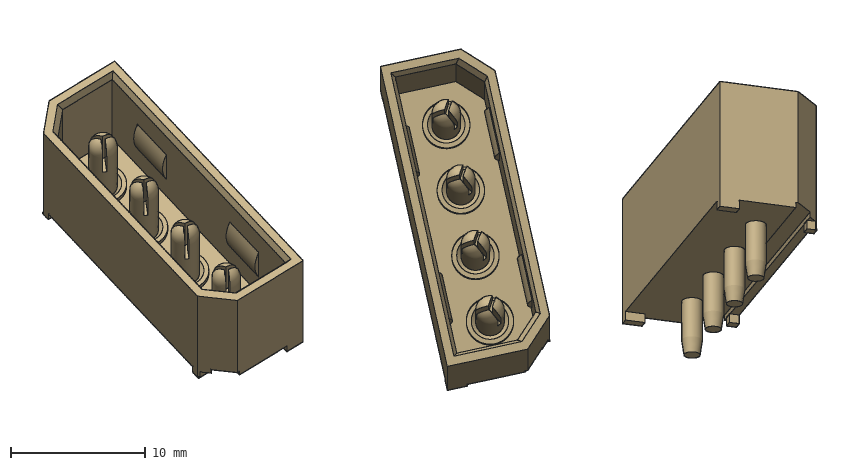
import cadquery as cq
import math


length = 23.25
width = 8.28
total_height = 13.77
tail_reach = 3.63
shroud_top = total_height - tail_reach
corner_cut = 2.15

foot_height = 0.7
foot_width = 0.75
rear_foot_depth = 1.54
front_foot_depth = 0.8
front_foot_outer_x = 9.63
foot_sole = 0.1
groove_top = 1.12
groove_rear_y = -1.81
groove_front_y = -3.4

floor_z = 2.19
wall = 0.93
rim_wall = 0.65
corner_wall = 1.07
corner_rim_wall = 0.67
bevel_height = 0.55

pin_count = 4
pin_pitch = 5.07
pin_diameter = 2.15
dome_top = 8.19
slot_width = 0.3
slot_depth = 2.8
slot_count = 3
tail_diameter = 1.55
tail_tip_diameter = 1.2
taper_length = 1.16

boss_diameter = 3.54
boss_height = 0.35
countersink_diameter = 2.8
countersink_depth = (countersink_diameter - pin_diameter) / 2

bump_centers_x = (-5.82, 5.58)
bump_length = 3.55
bump_bottom = 4.28
bump_top = 7.33
bump_rise = 0.35

pin_xs = [(i - (pin_count - 1) / 2) * pin_pitch for i in range(pin_count)]


def cut_corner_outline(side_inset, corner_inset, z):
    """Rectangle with 45 degree front corners, set in from the outside of the shroud."""
    x = length / 2 - side_inset
    y = width / 2 - side_inset
    cut = corner_cut - 2 * side_inset + math.sqrt(2) * corner_inset
    points = [(-x, y), (-x, cut - y), (cut - x, -y), (x - cut, -y), (x, cut - y), (x, y)]
    return cq.Workplane("XY", origin=(0, 0, z)).polyline(points).close()


def box(x_min, x_max, y_min, y_max, z_min, z_max):
    size = (x_max - x_min, y_max - y_min, z_max - z_min)
    return cq.Workplane("XY").box(*size, centered=False).translate((x_min, y_min, z_min))


def make_feet():
    front_y = -width / 2
    rear_y = width / 2
    rear = box(-length / 2, foot_width - length / 2, rear_y - rear_foot_depth, rear_y, 0, foot_height)
    inner_x = foot_width - front_foot_outer_x
    front = box(-front_foot_outer_x, inner_x, front_y, front_y + front_foot_depth, 0, foot_height)
    sole = front.intersect(box(-front_foot_outer_x, inner_x, front_y, 0, 0, foot_sole))
    trimmed_front = front.intersect(cut_corner_outline(0, 0, 0).extrude(foot_height))
    left_feet = rear.union(trimmed_front).union(sole)
    return left_feet.union(left_feet.mirror("YZ"))


def make_cavity():
    bevel_start = shroud_top - bevel_height
    pocket = cut_corner_outline(wall, corner_wall, floor_z).extrude(bevel_start - floor_z)
    bevel_foot = cut_corner_outline(wall, corner_wall, bevel_start).wire().val()
    rim = cut_corner_outline(rim_wall, corner_rim_wall, shroud_top).wire().val()
    bevel = cq.Solid.makeLoft([bevel_foot, rim], True)
    return pocket.union(cq.Workplane(bevel))


def make_boss():
    top = floor_z + boss_height
    boss = cq.Workplane("XY", origin=(0, 0, floor_z)).circle(boss_diameter / 2).extrude(boss_height)
    countersink = cq.Solid.makeCone(
        pin_diameter / 2, countersink_diameter / 2, countersink_depth, cq.Vector(0, 0, top - countersink_depth)
    )
    return boss.cut(cq.Workplane(countersink))


def make_pin():
    """Domed contact, slotted from the top, with a tapered tail below the body."""
    radius = pin_diameter / 2
    tail_radius = tail_diameter / 2
    dome_base = dome_top - radius
    dome_mid = radius * math.sqrt(0.5)
    pin = (
        cq.Workplane("XZ")
        .moveTo(0, -tail_reach)
        .lineTo(tail_tip_diameter / 2, -tail_reach)
        .lineTo(tail_radius, taper_length - tail_reach)
        .lineTo(tail_radius, floor_z)
        .lineTo(radius, floor_z)
        .lineTo(radius, dome_base)
        .threePointArc((dome_mid, dome_base + dome_mid), (0, dome_top))
        .close()
        .revolve(360, (0, 0, 0), (0, 1, 0))
    )
    slot = box(-slot_width / 2, slot_width / 2, 0, pin_diameter, dome_top - slot_depth, dome_top)
    for i in range(slot_count):
        pin = pin.cut(slot.rotate((0, 0, 0), (0, 0, 1), i * 360 / slot_count))
    return pin


def make_bump(center_x):
    """Arc-shaped bump on the rear cavity wall."""
    wall_y = width / 2 - wall
    mid_z = (bump_bottom + bump_top) / 2
    root_y = width / 2 - rim_wall
    return (
        cq.Workplane("YZ", origin=(center_x - bump_length / 2, 0, 0))
        .moveTo(root_y, bump_bottom)
        .lineTo(wall_y, bump_bottom)
        .threePointArc((wall_y - bump_rise, mid_z), (wall_y, bump_top))
        .lineTo(root_y, bump_top)
        .close()
        .extrude(bump_length)
    )


body = cut_corner_outline(0, 0, foot_height).extrude(shroud_top - foot_height)
body = body.cut(make_cavity())
body = body.cut(box(-length / 2, length / 2, groove_front_y, groove_rear_y, foot_height, groove_top))
body = body.union(make_feet())

for bump_x in bump_centers_x:
    bump = make_bump(bump_x)
    body = body.union(bump).union(bump.mirror("XZ"))

boss_and_pin = make_boss().union(make_pin())
for pin_x in pin_xs:
    body = body.union(boss_and_pin.translate((pin_x, 0, 0)))

result = body